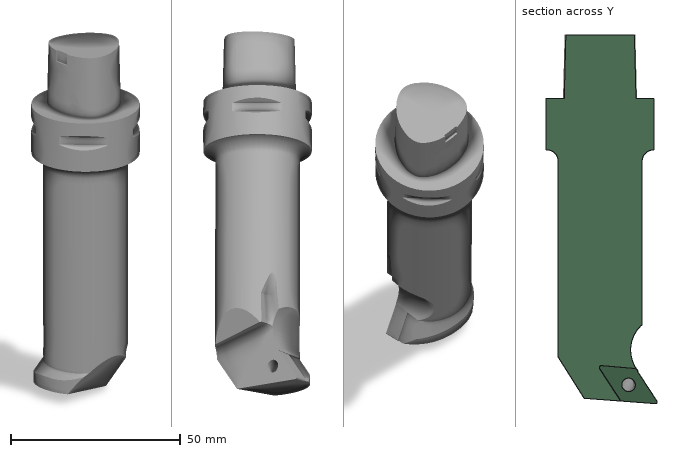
import cadquery as cq
import math


tool_length = 109.0
taper_height = 18.7
polygon_base_radius = 10.9
polygon_lobe = 0.8
taper_slope = 1 / 40
lobe_half_angle = 22
points_per_span = 7
key_width = 4.7
key_height = 3.4
key_floor_y = -9.0

flange_radius = 32.0 / 2
flange_height = 15.3
shank_radius = 25.0 / 2
neck_fillet = 3.3
groove_z = -6.2
groove_floor_height = 2.4
groove_mouth_height = 4.6
groove_depth = 1.7
groove_angles = [45, 135, 225, 315]

flare_z = -80.5
tool_bottom_z = taper_height - tool_length
flare_slope = 0.63
head_left_radius = 17.8
head_right_radius = 11.1
head_front_y = -14.1
head_flat_width = 0.5
relief_start_z = -76.3
flank_x = -10.0
flank_y = -7.0
flank_clearance = 0.05
end_slope_x = 0.075
end_slope_y = -0.12

tip_x = -17.4
tip_y = 0.2
rake_slope_x = 0.175
rake_slope_z = 0.085
cut_size = 87.2

pocket_fillet = 3.8 / 2
pocket_floor_x = -8.9
pocket_floor_top_z = -63.1
pocket_floor_bottom_z = -72.0
runout_x = -14.6
runout_z = -45.8
pocket_roof_slope = 0.2
roof_bevel_point = (0, 12.4, -68.2)
roof_bevel_normal = (-0.4, 1.9, -1)

gullet_radius = 10.0
gullet_center = (-19.6, 2.2, -74.6)

insert_width = 10.9
insert_height = 10.2
insert_thickness = 4.5
insert_nose = 0.5
insert_hole_diameter = 3.8

rake_normal = cq.Vector(-rake_slope_x, 1, -rake_slope_z)
rake_plane = cq.Plane(
    origin=(tip_x, tip_y, tool_bottom_z), xDir=(1, rake_slope_x, 0), normal=rake_normal.toTuple()
)


def half_space(point, normal):
    """Large block on the side of a plane that its normal points to."""
    plane = cq.Plane(origin=point, normal=normal)
    return cq.Workplane(plane).rect(2 * cut_size, 2 * cut_size).extrude(cut_size)


def on_rake(x, z):
    """Local rake plane coordinates of the place with this x and z."""
    y = tip_y + rake_slope_x * (x - tip_x) + rake_slope_z * (z - tool_bottom_z)
    local = rake_plane.toLocalCoords(cq.Vector(x, y, z))
    return (local.x, local.y)


def polygon_point(radius, normal_angle, z):
    """Point of the three-lobed outline whose outward normal has this angle."""
    a = math.radians(normal_angle)
    lobe_phase = 3 * (a - math.pi / 2)
    reach = radius + polygon_lobe * math.cos(lobe_phase)
    turn = -3 * polygon_lobe * math.sin(lobe_phase)
    return cq.Vector(
        reach * math.cos(a) - turn * math.sin(a),
        reach * math.sin(a) + turn * math.cos(a),
        z,
    )


def polygon_wire(radius, z):
    """Outline of alternating lobes and flanks."""
    edges = []
    for lobe_angle in (90, 210, 330):
        lobe_start = lobe_angle - lobe_half_angle
        lobe_end = lobe_angle + lobe_half_angle
        next_lobe = lobe_start + 120
        for start, end in ((lobe_start, lobe_end), (lobe_end, next_lobe)):
            step = (end - start) / (points_per_span - 1)
            angles = [start + i * step for i in range(points_per_span)]
            points = [polygon_point(radius, angle, z) for angle in angles]
            tangents = [
                cq.Vector(-math.sin(math.radians(a)), math.cos(math.radians(a)), 0) for a in (start, end)
            ]
            edges.append(cq.Edge.makeSpline(points, tangents=tangents))
    return cq.Wire.assembleEdges(edges)


def make_taper():
    top_radius = polygon_base_radius - taper_slope * taper_height
    base = polygon_wire(polygon_base_radius, 0)
    top = polygon_wire(top_radius, taper_height)
    taper = cq.Workplane(obj=cq.Solid.makeLoft([base, top], True))
    key = (
        cq.Workplane("XY", origin=(0, key_floor_y, taper_height - key_height))
        .rect(key_width, 2 * flange_radius)
        .extrude(key_height)
        .translate((0, -flange_radius, 0))
    )
    return taper.cut(key)


def make_flange_and_shank():
    fillet_end_z = -flange_height - neck_fillet
    fillet_offset = neck_fillet * (1 - math.sqrt(0.5))
    return (
        cq.Workplane("XZ")
        .moveTo(0, 0)
        .lineTo(flange_radius, 0)
        .lineTo(flange_radius, -flange_height)
        .lineTo(shank_radius + neck_fillet, -flange_height)
        .threePointArc(
            (shank_radius + fillet_offset, -flange_height - fillet_offset),
            (shank_radius, fillet_end_z),
        )
        .lineTo(shank_radius, flare_z)
        .lineTo(0, flare_z)
        .close()
        .revolve(360, (0, 0, 0), (0, 1, 0))
    )


def make_gripper_groove(angle):
    floor_radius = flange_radius - groove_depth
    floor_half = groove_floor_height / 2
    mouth_half = groove_mouth_height / 2
    return (
        cq.Workplane("XZ")
        .polyline([
            (floor_radius, groove_z - floor_half),
            (flange_radius, groove_z - mouth_half),
            (flange_radius, groove_z + mouth_half),
            (floor_radius, groove_z + floor_half),
        ])
        .close()
        .extrude(flange_radius, both=True)
        .rotate((0, 0, 0), (0, 0, 1), angle)
    )


def make_head():
    """Flare cone bounded by an eccentric outline around the cutting circle."""
    depth = flare_z - tool_bottom_z
    cone_radius = shank_radius + flare_slope * depth
    cone = cq.Workplane(
        obj=cq.Solid.makeCone(cone_radius, shank_radius, depth, pnt=cq.Vector(0, 0, tool_bottom_z))
    )
    left_center_y = head_front_y + head_left_radius
    right_center_y = head_front_y + head_right_radius
    left_x = -head_flat_width - head_left_radius
    diagonal = math.sqrt(0.5)
    outline = (
        cq.Workplane("XY", origin=(0, 0, tool_bottom_z))
        .moveTo(left_x, left_center_y)
        .threePointArc(
            (-head_flat_width - head_left_radius * diagonal, left_center_y - head_left_radius * diagonal),
            (-head_flat_width, head_front_y),
        )
        .lineTo(0, head_front_y)
        .threePointArc(
            (head_right_radius * diagonal, right_center_y - head_right_radius * diagonal),
            (head_right_radius, right_center_y),
        )
        .lineTo(head_right_radius, cone_radius)
        .lineTo(left_x, cone_radius)
        .close()
        .extrude(depth)
    )
    head = cone.intersect(outline)
    flank_normal = (-1, -flank_clearance, flare_slope)
    return head.cut(half_space((flank_x, flank_y, flare_z), flank_normal))


def make_pocket():
    roof_end_z = pocket_floor_bottom_z - pocket_roof_slope * cut_size
    corners = [
        (runout_x, runout_z),
        (pocket_floor_x, pocket_floor_top_z),
        (pocket_floor_x, pocket_floor_bottom_z),
        (pocket_floor_x + cut_size, roof_end_z),
        (pocket_floor_x + cut_size, -2 * cut_size),
        (-cut_size, -2 * cut_size),
        (-cut_size, runout_z),
    ]
    pocket = (
        cq.Workplane(rake_plane)
        .polyline([on_rake(x, z) for x, z in corners])
        .close()
        .extrude(cut_size)
    )
    rake_face = pocket.faces(cq.selectors.DirectionMinMaxSelector(rake_normal, False))
    return rake_face.edges().fillet(pocket_fillet)


def make_roof_bevel():
    above_rake_face = half_space((tip_x, tip_y, tool_bottom_z), rake_normal.toTuple())
    return half_space(roof_bevel_point, roof_bevel_normal).intersect(above_rake_face)


def make_gullet():
    start = cq.Vector(*gullet_center) - rake_normal * cut_size
    return cq.Workplane(obj=cq.Solid.makeCylinder(gullet_radius, 2 * cut_size, start, rake_normal))


def make_insert_blank():
    """Rhombic plate lying under the rake face, with rounded corners."""
    side_shift = flare_slope * insert_height
    end_rise = end_slope_x * insert_width
    corners = [
        (tip_x, tool_bottom_z),
        (tip_x + insert_width, tool_bottom_z + end_rise),
        (tip_x + insert_width + side_shift, tool_bottom_z + end_rise + insert_height),
        (tip_x + side_shift, tool_bottom_z + insert_height),
    ]
    return (
        cq.Workplane(rake_plane)
        .polyline([on_rake(x, z) for x, z in corners])
        .close()
        .extrude(-insert_thickness)
        .edges(cq.selectors.ParallelDirSelector(rake_normal))
        .fillet(insert_nose)
    )


def make_insert():
    center_x = tip_x + (insert_width + flare_slope * insert_height) / 2
    center_z = tool_bottom_z + (end_slope_x * insert_width + insert_height) / 2
    hole = (
        cq.Workplane(rake_plane)
        .center(*on_rake(center_x, center_z))
        .circle(insert_hole_diameter / 2)
        .extrude(-insert_thickness)
    )
    return make_insert_blank().cut(hole)


def make_holder():
    holder = make_taper().union(make_flange_and_shank()).union(make_head())
    for angle in groove_angles:
        holder = holder.cut(make_gripper_groove(angle))
    holder = holder.cut(half_space((shank_radius, 0, relief_start_z), (1, 0, -flare_slope)))
    holder = holder.cut(half_space((tip_x, tip_y, tool_bottom_z), (end_slope_x, end_slope_y, -1)))
    holder = holder.cut(make_pocket()).cut(make_roof_bevel())
    return holder.cut(make_gullet()).cut(make_insert_blank())


holder = make_holder()
insert = make_insert()
result = cq.Compound.makeCompound([*holder.solids().vals(), insert.val()])